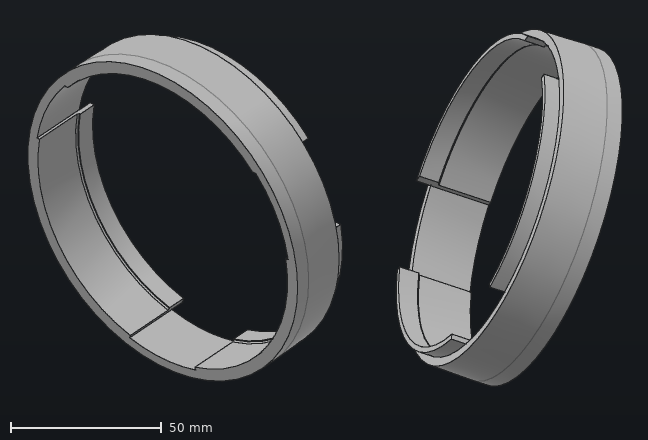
import cadquery as cq
import math

outer_radius = 58.9
rear_radius = 58.5
total_length = 27.0
tooth_length = 5.4
band_length = 5.7
bore_radius = 54.4
tooth_inner_radius = 53.6
tooth_outer_radius = 55.5
lip_position = 19.8
lip_step = 0.4
lip_bevel_length = 0.6

left_gap_bottom = 8.8
left_gap_top = 35.3
right_gap_bottom = 9.4
right_gap_top = 37.8
bottom_gap_half_angle = math.radians(15)

body_length = total_length - tooth_length


def ring():
    """Revolve the wall section, including a full ring of tooth, about Y."""
    return (
        cq.Workplane("XY")
        .moveTo(bore_radius, 0)
        .lineTo(outer_radius, 0)
        .lineTo(outer_radius, band_length)
        .lineTo(rear_radius, body_length)
        .lineTo(tooth_outer_radius, body_length)
        .lineTo(tooth_outer_radius, total_length)
        .lineTo(tooth_inner_radius, total_length)
        .lineTo(tooth_inner_radius, lip_position)
        .lineTo(tooth_inner_radius + lip_step, lip_position)
        .lineTo(bore_radius, lip_position - lip_bevel_length)
        .close()
        .revolve(360, (0, 0, 0), (0, 1, 0))
    )


def side_gap(side, bottom, top):
    """Block with level ends; side is -1 for left and +1 for right."""
    return (
        cq.Workplane("XY")
        .box(outer_radius, total_length, top - bottom, centered=(True, False, False))
        .translate((side * outer_radius / 2, 0, bottom))
    )


def bottom_gap():
    """Wedge with radial ends, opening downwards from the axis."""
    half_width = outer_radius * math.tan(bottom_gap_half_angle)
    return (
        cq.Workplane("XZ")
        .polyline([(0, 0), (-half_width, -outer_radius), (half_width, -outer_radius)])
        .close()
        .extrude(-total_length)
    )


gap_cylinder = cq.Workplane("XZ").circle(tooth_outer_radius).extrude(-total_length)

gaps = [
    side_gap(-1, left_gap_bottom, left_gap_top),
    side_gap(1, right_gap_bottom, right_gap_top),
    bottom_gap(),
]

result = ring()
for gap in gaps:
    result = result.cut(gap.intersect(gap_cylinder))